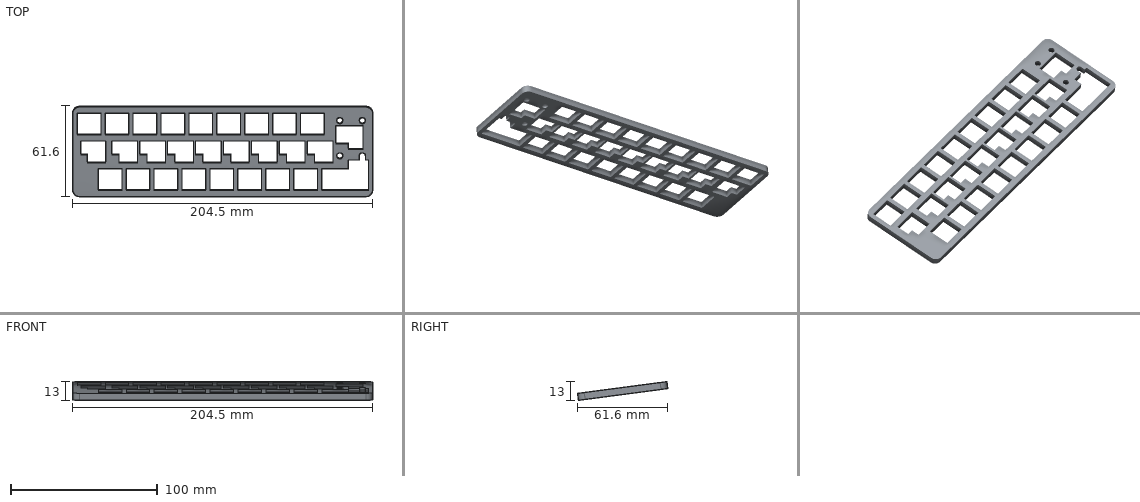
import cadquery as cq

plate_length = 204.5
plate_depth = 61.5
plate_thickness = 5.0
corner_radius = 4.7
tilt_angle = 7.5

key_pitch = 19.0
key_width = 16.0
key_height = 15.0
right_margin = 3.0
row_count = 3
front_margin = (plate_depth - (row_count - 1) * key_pitch - key_height) / 2
front_row_y, middle_row_y, back_row_y = [front_margin + row * key_pitch for row in range(row_count)]

back_key_count = 9
back_row_x = 3.3
front_key_count = 8
front_row_x = 17.5

middle_key_count = 8
wide_key_x = 26.8
wide_key_width = 17.4
first_key_x = 5.7
first_key_width = 16.8
deep_part_width = 12.5
step_height = 5.5

step_x = 188.0
tall_key_x = 179.4
tall_key_right = 197.8
tall_key_back_y = 48.7
tall_key_front_y = 32.5
tall_key_step_height = 3.9
corner_opening_back_y = 25.2

pin_diameter = 4.0
pin_left_x = 182.0
pin_right_x = 197.4
pin_back_y = 52.2
pin_front_y = 28.0


def prism(outline):
    """Turn a closed outline into a prism through the whole plate."""
    return outline.extrude(plate_thickness)


def rectangle(left, front, right, back):
    """Rectangular prism as thick as the plate."""
    outline = cq.Workplane("XY").center((left + right) / 2, (front + back) / 2)
    return prism(outline.rect(right - left, back - front))


def stepped_opening(left, front, right, back, step_right, step_top):
    """Rectangle with its front-left corner left solid."""
    return rectangle(left, step_top, right, back).union(rectangle(step_right, front, right, back))


def stepped_key(left, width):
    right = left + width
    return stepped_opening(
        left, middle_row_y, right, middle_row_y + key_height,
        right - deep_part_width, middle_row_y + step_height,
    )


def cut_key_row(body, first_x, front_y, count):
    for column in range(count):
        left = first_x + column * key_pitch
        body = body.cut(rectangle(left, front_y, left + key_width, front_y + key_height))
    return body


def cut_middle_row(body):
    body = body.cut(stepped_key(first_key_x, first_key_width))
    for column in range(middle_key_count):
        body = body.cut(stepped_key(wide_key_x + column * key_pitch, wide_key_width))
    return body


def cut_tall_key(body):
    body = body.cut(stepped_opening(
        tall_key_x, tall_key_front_y, tall_key_right, tall_key_back_y,
        step_x, tall_key_front_y + tall_key_step_height,
    ))

    opening_x = front_row_x + front_key_count * key_pitch
    opening_right = plate_length - right_margin
    body = body.cut(rectangle(opening_x, front_row_y, opening_right, front_row_y + key_height))
    body = body.cut(rectangle(step_x, front_row_y, opening_right, corner_opening_back_y))

    pin_radius = pin_diameter / 2
    pin_centers = [(x, y) for x in (pin_left_x, pin_right_x) for y in (pin_front_y, pin_back_y)]
    body = body.cut(prism(cq.Workplane("XY").pushPoints(pin_centers).circle(pin_radius)))
    return body.cut(rectangle(
        pin_right_x - pin_radius, front_row_y, pin_right_x + pin_radius, pin_front_y,
    ))


plate = rectangle(0, 0, plate_length, plate_depth).edges("|Z").fillet(corner_radius)
plate = cut_key_row(plate, back_row_x, back_row_y, back_key_count)
plate = cut_middle_row(plate)
plate = cut_key_row(plate, front_row_x, front_row_y, front_key_count)
plate = cut_tall_key(plate)

result = plate.rotate((0, 0, 0), (1, 0, 0), tilt_angle)